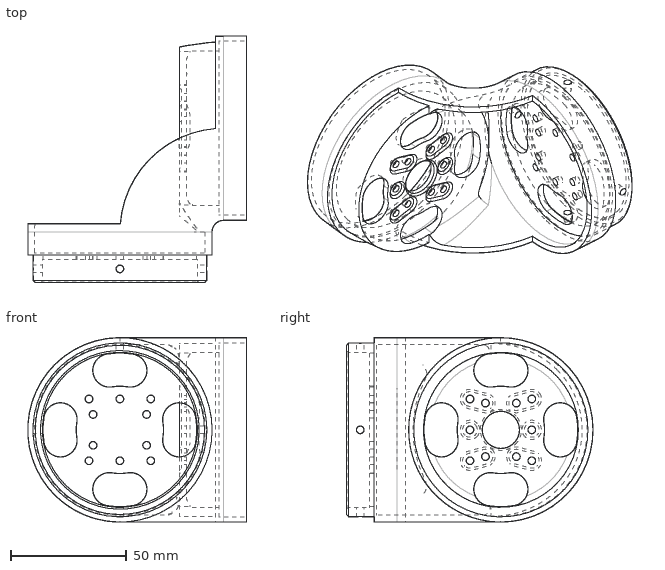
import cadquery as cq
import math


TUBE_R = 40.0
WALL = 3.0
INNER_BEND_R = 5.0
RING_LENGTH = 10.0
BORE_R = 33.6

SPIGOT_R = 37.7
SPIGOT_LENGTH = 12.0
SPIGOT_CHAMFER = 1.0
MOUTH_CHAMFER = 0.8
PIN_HOLE_D = 3.2

SOCKET_R = 37.75
BORE_FILLET = 2.8

PLATE_THICKNESS = 3.0
INLET_PLATE_DEPTH = 10.0
OUTLET_PLATE_DEPTH = 29.2
CUP_R = 37.5
FLARE_R = 48.0
FLARE_SLOPE = 0.85
FLARE_Y = 6.9
CUP_FILLET = 6.0
RIM = 3.6

SLOT_WIDTH = 14.3
SLOT_EDGE = 0.3
SLOT_HALF_ANGLE = 10.0
SCREW_D = 3.2
SCREW_PITCH = 13.4
INNER_SCREW_R = 13.4
INNER_SCREW_ANGLE = 60.0
RECESS_R = 4.2
RECESS_DEPTH = 1.0
CABLE_HOLE_R = 8.0
CABLE_HOLE_CHAMFER = 0.9

BEND_R = TUBE_R + INNER_BEND_R
CAVITY_R = TUBE_R - WALL
SLOT_R = BORE_R - SLOT_EDGE - SLOT_WIDTH / 2
OUTLET_END_X = BEND_R + RING_LENGTH
MOUTH_Y = -RING_LENGTH - SPIGOT_LENGTH
INLET_PLATE_Y = MOUTH_Y + INLET_PLATE_DEPTH
INLET_PLATE_BACK_Y = INLET_PLATE_Y + PLATE_THICKNESS
OUTLET_PLATE_X = OUTLET_END_X - OUTLET_PLATE_DEPTH
OUTLET_PLATE_BACK_X = OUTLET_PLATE_X + PLATE_THICKNESS
OVERSIZE = 3 * BEND_R

INLET = cq.Plane(origin=(0, 0, 0), xDir=(1, 0, 0), normal=(0, 1, 0))
OUTLET = cq.Plane(origin=(0, BEND_R, 0), xDir=(0, 1, 0), normal=(1, 0, 0))
INLET_SCREWS = cq.Plane(origin=(0, 0, 0), xDir=(0, 0, 1), normal=(0, 1, 0))


def disc(plane, radius, start, end):
    """Cylinder along the normal of a plane, between two distances from it."""
    return cq.Workplane(plane).workplane(offset=start).circle(radius).extrude(end - start)


def quarter_torus(radius):
    """Elbow of solid round section between the two ring planes."""
    axis_start = (BEND_R, 0)
    axis_end = (BEND_R, -1)
    return cq.Workplane("XZ").circle(radius).revolve(90, axis_start, axis_end)


def beyond_outlet_plate():
    """Block holding everything on the +X side of the outlet plate's outer face."""
    return (
        cq.Workplane(OUTLET)
        .workplane(offset=OUTLET_PLATE_X)
        .rect(OVERSIZE, OVERSIZE)
        .extrude(OUTLET_PLATE_DEPTH)
    )


def outer_form():
    """Elbow with its rings and the inlet spigot, all solid."""
    spigot = disc(INLET, SPIGOT_R, MOUTH_Y, -RING_LENGTH).faces("<Y").chamfer(SPIGOT_CHAMFER)
    inlet_ring = disc(INLET, TUBE_R, -RING_LENGTH, 0)
    outlet_ring = disc(OUTLET, TUBE_R, BEND_R, OUTLET_END_X)
    return quarter_torus(TUBE_R).union(inlet_ring).union(outlet_ring).union(spigot)


def cavity():
    """Hollow of the elbow between the plates, rounded where the cup meets the elbow wall."""
    flare = cq.Solid.makeCone(
        FLARE_R,
        FLARE_R + FLARE_SLOPE * OUTLET_PLATE_DEPTH,
        OUTLET_PLATE_DEPTH,
        cq.Vector(OUTLET_PLATE_X, FLARE_Y + FLARE_R, 0),
        cq.Vector(1, 0, 0),
    )
    hollow = quarter_torus(CAVITY_R).cut(cq.Workplane(flare))
    wall_edges = [
        edge
        for edge in hollow.edges().vals()
        if edge.geomType() == "BSPLINE" and edge.BoundingBox().ymax > RIM
    ]
    rounded = hollow.newObject(wall_edges).fillet(CUP_FILLET)
    return rounded.union(disc(INLET, CAVITY_R, INLET_PLATE_BACK_Y, 0))


def opening():
    """Space outside the bend's centre line, where the wall is removed around the cup."""
    corner = (
        cq.Workplane("XY")
        .box(OVERSIZE, OVERSIZE, OVERSIZE, centered=(False, False, True))
        .translate((BEND_R - RIM - OVERSIZE, RIM, 0))
    )
    inside_of_bend = cq.Workplane("XY").center(BEND_R, 0).circle(BEND_R).extrude(OVERSIZE, both=True)
    cup = quarter_torus(CUP_R).intersect(beyond_outlet_plate())
    return corner.cut(inside_of_bend).cut(cup)


def curved_slots(plane, start, end):
    """Four curved slots through a plate, spaced evenly round its centre."""
    base = cq.Workplane(plane).workplane(offset=start)
    inner_r = SLOT_R - SLOT_WIDTH / 2
    outer_r = SLOT_R + SLOT_WIDTH / 2
    half_angle = math.radians(SLOT_HALF_ANGLE)

    def polar(radius, angle):
        return radius * math.cos(angle), radius * math.sin(angle)

    def slot_end(angle, side):
        x, y = polar(SLOT_R, angle)
        reach = side * SLOT_WIDTH / 2
        return x - reach * math.sin(angle), y + reach * math.cos(angle)

    slots = cq.Workplane()
    for quarter in range(4):
        middle = quarter * math.pi / 2
        low = middle - half_angle
        high = middle + half_angle
        slot = (
            base.moveTo(*polar(outer_r, low))
            .threePointArc(polar(outer_r, middle), polar(outer_r, high))
            .threePointArc(slot_end(high, 1), polar(inner_r, high))
            .threePointArc(polar(inner_r, middle), polar(inner_r, low))
            .threePointArc(slot_end(low, -1), polar(outer_r, low))
            .close()
            .extrude(end - start)
        )
        slots = slots.add(slot)
    return slots.combine()


def screw_pairs():
    """Outer and inner screw of each corner, with the line of single screws on local x."""
    angle = math.radians(INNER_SCREW_ANGLE)
    inner_x = INNER_SCREW_R * math.cos(angle)
    inner_y = INNER_SCREW_R * math.sin(angle)
    return [
        ((sx * SCREW_PITCH, sy * SCREW_PITCH), (sx * inner_x, sy * inner_y))
        for sx in (-1, 1)
        for sy in (-1, 1)
    ]


def single_screws():
    return [(-SCREW_PITCH, 0), (SCREW_PITCH, 0)]


def screw_holes(plane, start, end):
    points = single_screws()
    for pair in screw_pairs():
        points.extend(pair)
    return (
        cq.Workplane(plane)
        .workplane(offset=start)
        .pushPoints(points)
        .circle(SCREW_D / 2)
        .extrude(end - start)
    )


def screw_recesses():
    """Round and oblong recesses for the screw heads, narrowing at 45 degrees to a flat floor."""
    face = cq.Workplane(OUTLET).workplane(offset=OUTLET_PLATE_X)
    recesses = face.pushPoints(single_screws()).circle(RECESS_R).extrude(RECESS_DEPTH, taper=45)
    for outer, inner in screw_pairs():
        run = (inner[0] - outer[0], inner[1] - outer[1])
        length = math.hypot(*run) + 2 * RECESS_R
        tilt = math.degrees(math.atan2(run[1], run[0]))
        middle = face.center((outer[0] + inner[0]) / 2, (outer[1] + inner[1]) / 2)
        recess = middle.slot2D(length, 2 * RECESS_R, tilt).extrude(RECESS_DEPTH, taper=45)
        recesses = recesses.union(recess)
    return recesses


def cable_hole():
    """Central hole in the outlet plate, chamfered at the plate's outer face."""
    hole = disc(OUTLET, CABLE_HOLE_R, OUTLET_PLATE_X, OUTLET_PLATE_BACK_X)
    mouth_r = CABLE_HOLE_R + CABLE_HOLE_CHAMFER
    face = cq.Workplane(OUTLET).workplane(offset=OUTLET_PLATE_X)
    return hole.union(face.circle(mouth_r).extrude(CABLE_HOLE_CHAMFER, taper=45))


def inlet_bore():
    """Bore down to the inlet plate, with a lead-in chamfer at the mouth."""
    bore = disc(INLET, BORE_R, MOUTH_Y, INLET_PLATE_Y)
    mouth = cq.Workplane(INLET).workplane(offset=MOUTH_Y)
    return bore.union(mouth.circle(BORE_R + MOUTH_CHAMFER).extrude(MOUTH_CHAMFER, taper=45))


def outlet_bore():
    """Bore down to the outlet plate, rounded at its floor and widened to a socket at its end."""
    bore = disc(OUTLET, BORE_R, OUTLET_PLATE_BACK_X, OUTLET_END_X)
    bore = bore.faces("<X").edges().fillet(BORE_FILLET)
    return bore.union(disc(OUTLET, SOCKET_R, OUTLET_END_X - SPIGOT_LENGTH, OUTLET_END_X))


def pin_holes():
    """Two crossing pin holes through the spigot wall, at half its length."""
    middle = cq.Vector(0, MOUTH_Y + SPIGOT_LENGTH / 2, 0)
    holes = cq.Workplane()
    for direction in (cq.Vector(1, 0, 0), cq.Vector(0, 0, 1)):
        start = middle - direction * TUBE_R
        holes = holes.add(cq.Solid.makeCylinder(PIN_HOLE_D / 2, 2 * TUBE_R, start, direction))
    return holes.combine()


result = outer_form().cut(opening()).cut(cavity())

result = result.cut(inlet_bore())
result = result.cut(outlet_bore())
result = result.cut(curved_slots(INLET, INLET_PLATE_Y, INLET_PLATE_BACK_Y))
outlet_slot_start = OUTLET_PLATE_X - CUP_FILLET
outlet_slot_end = OUTLET_PLATE_BACK_X + BORE_FILLET
result = result.cut(curved_slots(OUTLET, outlet_slot_start, outlet_slot_end))
result = result.cut(cable_hole())

result = result.cut(screw_holes(INLET_SCREWS, INLET_PLATE_Y, INLET_PLATE_BACK_Y))
result = result.cut(screw_holes(OUTLET, OUTLET_PLATE_X, OUTLET_PLATE_BACK_X))
result = result.cut(screw_recesses())
result = result.cut(pin_holes())